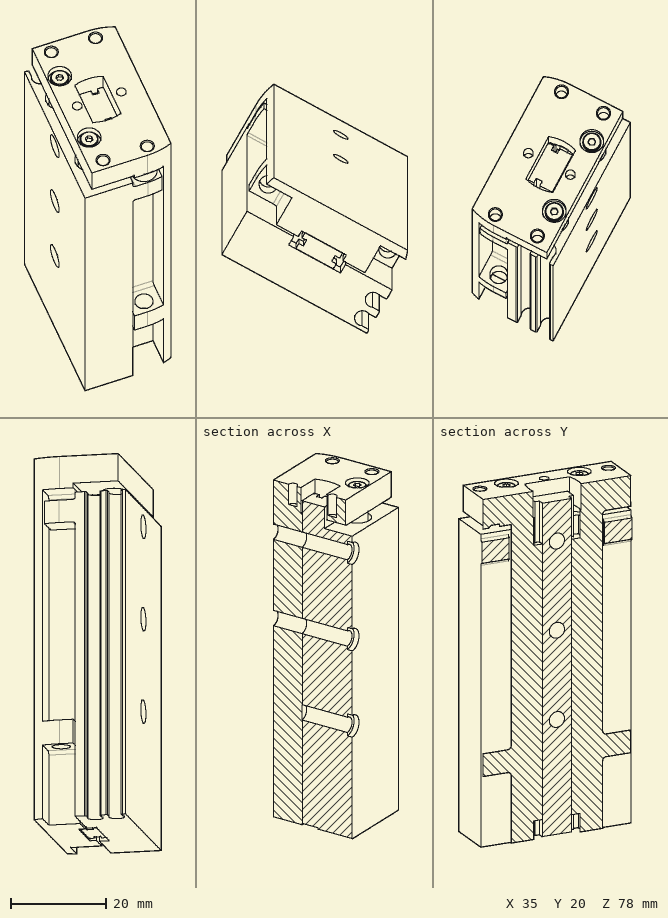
import cadquery as cq
import math

LENGTH = 78.0
DEPTH = 20.0
WIDTH = 35.0
BODY_HALF_WIDTH = WIDTH / 2
TABLE_HALF_WIDTH = 17.2
SIDE_STRAIGHT_Y = 14.3
FLANK_INSET = 1.1

BODY_TOP_Z = 70.05
BODY_BACK_Y = 10.85
CHANNEL_HALF_WIDTH = 6.25
CHANNEL_FLOOR_Y = 8.7

SLOT_DIAMETER = 3.3
SLOT_NECK = 3.0
SLOT_LIP_WIDTH = 0.27
SLOT_LIP_DEPTH = 0.12
SLOT_AXIS_X = -15.05
SLOT_AXES_Y = (2.4, 7.0)

RAIL_HALF_WIDTH = 4.5
RAIL_FRONT_Y = 7.0
RAIL_BACK_Y = 12.7
RAIL_BOTTOM_Z = 0.3
RAIL_TOP_Z = 75.0
RAIL_GROOVE_DEPTH = 1.1
RAIL_GROOVE_WIDTH = 1.4
RAIL_GROOVE_Y = 10.7

STOP_BOTTOM_Z = 63.65
STOP_TOP_Z = 68.5
STOP_BACK_Y = 17.55
STOP_INNER_X = 11.1
STOP_FILLET = 0.55

BUMPER_DIAMETER = 5.5
BUMPER_X = 14.4
BUMPER_Y = 14.5
BUMPER_TOP_Z = 71.3

MOUNT_COUNT = 3
MOUNT_THROUGH_COUNT = 2
MOUNT_PITCH = 20.0
MOUNT_TOP_Z = 66.0
MOUNT_DIAMETER = 3.4
MOUNT_BORE_DIAMETER = 5.0
MOUNT_BORE_DEPTH = 1.25

PLATE_FRONT_Y = 1.6
PLATE_BOTTOM_Z = 72.1
SHOULDER_BOTTOM_Z = 71.05
PANEL_FRONT_Y = 18.0
BLOCK_HALF_WIDTH = 10.7
BLOCK_FRONT_Y = 11.3
BLOCK_CHANNEL_HALF_WIDTH = 5.4
CORNER_RADIUS = 0.8

CARRIAGE_CLEARANCE = 0.15
CARRIAGE_HALF_WIDTH = CHANNEL_HALF_WIDTH - CARRIAGE_CLEARANCE
CARRIAGE_FRONT_Y = CHANNEL_FLOOR_Y + CARRIAGE_CLEARANCE
CARRIAGE_END_INSET = 4.1

END_STOP_BOTTOM_Z = 15.9
END_STOP_TOP_Z = 21.05
END_STOP_HOLE_DIAMETER = 3.8

NOTCH_LEFT_X = 13.4
NOTCH_RIGHT_X = 15.4
NOTCH_TOP_Z = 71.8

WINDOW_FRONT_Y = 6.55
WINDOW_BACK_Y = 12.95
WINDOW_END_HALF_WIDTH = 5.15
WINDOW_MID_HALF_WIDTH = 5.7

PLATE_HOLE_DEPTH = 4.7
PLATE_HOLES_Y = (5.1, 15.05)
THREAD_X = 15.0
THREAD_DIAMETER = 2.5
THREAD_CHAMFER = 0.2
PIN_HOLE_DIAMETER = 2.0

SCREW_X = 8.5
SCREW_Y = 4.45
SCREW_BORE_DIAMETER = 5.0
SCREW_BORE_DEPTH = 1.55
SCREW_HEAD_DIAMETER = 3.8
SCREW_HEAD_CHAMFER = 0.15
SCREW_HEAD_RECESS = 0.5
SOCKET_ACROSS_FLATS = 1.4
SOCKET_DEPTH = 0.8
BUFFER_DIAMETER = 4.6
BUFFER_CLEARANCE_DIAMETER = 6.0
BUFFER_END_Z = 67.85
BUFFER_HOLE_DEPTH = 4.7


def box(x_range, y_range, z_range):
    """Box between two limits on each axis."""
    x0, x1 = x_range
    y0, y1 = y_range
    z0, z1 = z_range
    return cq.Workplane("XY").box(x1 - x0, y1 - y0, z1 - z0, centered=False).translate((x0, y0, z0))


def cylinder(diameter, x, y, z_bottom, z_top):
    """Cylinder along Z."""
    return cq.Workplane("XY", origin=(x, y, z_bottom)).circle(diameter / 2).extrude(z_top - z_bottom)


def cylinder_y(diameter, z, y_front, y_back):
    """Cylinder along Y on the centre plane."""
    plane = cq.Workplane("XZ", origin=(0, y_front, z))
    return plane.circle(diameter / 2).extrude(y_front - y_back)


def flanked_prism(half_width, y_front, z_bottom, z_top):
    """Prism whose sides are straight and then curve inwards towards the back."""
    rise = DEPTH - SIDE_STRAIGHT_Y
    radius = (rise**2 + FLANK_INSET**2) / (2 * FLANK_INSET)
    mid_rise = rise / 2
    mid_x = half_width - radius + math.sqrt(radius**2 - mid_rise**2)
    end_x = half_width - FLANK_INSET
    mid_y = SIDE_STRAIGHT_Y + mid_rise
    return (
        cq.Workplane("XY", origin=(0, 0, z_bottom))
        .moveTo(-half_width, y_front)
        .lineTo(half_width, y_front)
        .lineTo(half_width, SIDE_STRAIGHT_Y)
        .threePointArc((mid_x, mid_y), (end_x, DEPTH))
        .lineTo(-end_x, DEPTH)
        .threePointArc((-mid_x, mid_y), (-half_width, SIDE_STRAIGHT_Y))
        .close()
        .extrude(z_top - z_bottom)
    )


def mount_holes_z(count):
    """Heights of the mounting holes, counted from the top."""
    return [MOUNT_TOP_Z - i * MOUNT_PITCH for i in range(count)]


def make_rail():
    """Guide rail with a groove along each flank."""
    z_range = (RAIL_BOTTOM_Z, RAIL_TOP_Z)
    rail = box((-RAIL_HALF_WIDTH, RAIL_HALF_WIDTH), (RAIL_FRONT_Y, RAIL_BACK_Y), z_range)
    groove_y = (RAIL_GROOVE_Y - RAIL_GROOVE_WIDTH / 2, RAIL_GROOVE_Y + RAIL_GROOVE_WIDTH / 2)
    groove_floor_x = RAIL_HALF_WIDTH - RAIL_GROOVE_DEPTH
    rail = rail.cut(box((groove_floor_x, RAIL_HALF_WIDTH), groove_y, z_range))
    return rail.cut(box((-RAIL_HALF_WIDTH, -groove_floor_x), groove_y, z_range))


def make_stops():
    """Pair of stop lugs that rise from the body on both sides of the table block."""
    lugs = flanked_prism(BODY_HALF_WIDTH, CHANNEL_FLOOR_Y, STOP_BOTTOM_Z, STOP_TOP_Z)
    gap = (-STOP_INNER_X, STOP_INNER_X)
    lugs = lugs.cut(box(gap, (0, DEPTH), (0, LENGTH)))
    side = (-BODY_HALF_WIDTH, BODY_HALF_WIDTH)
    return lugs.cut(box(side, (STOP_BACK_Y, DEPTH), (0, LENGTH)))


def make_sensor_slot(y):
    """Round slot with a chamfered neck that opens towards -X."""
    half_neck = SLOT_NECK / 2
    half_mouth = half_neck + SLOT_LIP_WIDTH
    lip_x = -BODY_HALF_WIDTH + SLOT_LIP_DEPTH
    neck = (
        cq.Workplane("XY")
        .moveTo(SLOT_AXIS_X, y - half_neck)
        .lineTo(lip_x, y - half_neck)
        .lineTo(-BODY_HALF_WIDTH, y - half_mouth)
        .lineTo(-BODY_HALF_WIDTH, y + half_mouth)
        .lineTo(lip_x, y + half_neck)
        .lineTo(SLOT_AXIS_X, y + half_neck)
        .close()
        .extrude(BODY_TOP_Z)
    )
    return neck.union(cylinder(SLOT_DIAMETER, SLOT_AXIS_X, y, 0, BODY_TOP_Z))


def make_body():
    """Slotted body with its rail, stop lugs, bumper and mounting holes."""
    side = (-BODY_HALF_WIDTH, BODY_HALF_WIDTH)
    body = box(side, (0, BODY_BACK_Y), (0, BODY_TOP_Z)).union(make_stops())
    root = (BODY_HALF_WIDTH + STOP_INNER_X) / 2
    for x in (-root, root):
        for z in (STOP_BOTTOM_Z, STOP_TOP_Z):
            root_edge = cq.selectors.NearestToPointSelector((x, BODY_BACK_Y, z))
            body = body.edges(root_edge).fillet(STOP_FILLET)
    channel = (-CHANNEL_HALF_WIDTH, CHANNEL_HALF_WIDTH)
    body = body.cut(box(channel, (CHANNEL_FLOOR_Y, BODY_BACK_Y), (0, BODY_TOP_Z)))
    for y in SLOT_AXES_Y:
        body = body.cut(make_sensor_slot(y))
    body = body.union(make_rail())
    body = body.union(cylinder(BUMPER_DIAMETER, BUMPER_X, BUMPER_Y, STOP_TOP_Z, BUMPER_TOP_Z))
    hole_floor = BODY_TOP_Z - BUFFER_HOLE_DEPTH
    for x in (-SCREW_X, SCREW_X):
        body = body.cut(cylinder(BUFFER_CLEARANCE_DIAMETER, x, SCREW_Y, hole_floor, BODY_TOP_Z))
    for z in mount_holes_z(MOUNT_COUNT):
        body = body.cut(cylinder_y(MOUNT_DIAMETER, z, 0, DEPTH))
        body = body.cut(cylinder_y(MOUNT_BORE_DIAMETER, z, 0, MOUNT_BORE_DEPTH))
    return body


def corner_fillers(z, direction):
    """Concave fillets where a face at height z meets both flanks of the table block."""
    tip_z = z + direction * CORNER_RADIUS
    tip_x = BLOCK_HALF_WIDTH + CORNER_RADIUS
    reach = CORNER_RADIUS * (1 - math.sqrt(0.5))
    filler = (
        cq.Workplane("XZ", origin=(0, BLOCK_FRONT_Y, 0))
        .moveTo(BLOCK_HALF_WIDTH, z)
        .lineTo(tip_x, z)
        .threePointArc((BLOCK_HALF_WIDTH + reach, z + direction * reach), (BLOCK_HALF_WIDTH, tip_z))
        .close()
        .extrude(BLOCK_FRONT_Y - PANEL_FRONT_Y)
    )
    return filler.union(filler.mirror("YZ"))


def make_carriage():
    """Carriage legs that fill the space between the rail and the body channel."""
    z_range = (CARRIAGE_END_INSET, BODY_TOP_Z - CARRIAGE_END_INSET)
    legs_x = (-CARRIAGE_HALF_WIDTH, CARRIAGE_HALF_WIDTH)
    root_x = (-BLOCK_CHANNEL_HALF_WIDTH, BLOCK_CHANNEL_HALF_WIDTH)
    carriage = box(legs_x, (CARRIAGE_FRONT_Y, BLOCK_FRONT_Y), z_range)
    carriage = carriage.union(box(root_x, (BLOCK_FRONT_Y, RAIL_BACK_Y), z_range))
    return carriage.cut(make_rail())


def make_table_shell():
    """End plate, back panel, central block, carriage legs and end stops."""
    shell = flanked_prism(TABLE_HALF_WIDTH, PLATE_FRONT_Y, 0, LENGTH)
    full = (-BODY_HALF_WIDTH, BODY_HALF_WIDTH)
    shell = shell.cut(box(full, (0, BLOCK_FRONT_Y), (0, PLATE_BOTTOM_Z)))
    y_range = (BLOCK_FRONT_Y, PANEL_FRONT_Y)
    for x_range in ((-BODY_HALF_WIDTH, -BLOCK_HALF_WIDTH), (BLOCK_HALF_WIDTH, BODY_HALF_WIDTH)):
        shell = shell.cut(box(x_range, y_range, (0, END_STOP_BOTTOM_Z)))
        shell = shell.cut(box(x_range, y_range, (END_STOP_TOP_Z, SHOULDER_BOTTOM_Z)))
    shell = shell.union(corner_fillers(SHOULDER_BOTTOM_Z, -1))
    shell = shell.union(corner_fillers(END_STOP_TOP_Z, 1))
    shell = shell.union(corner_fillers(END_STOP_BOTTOM_Z, -1))
    channel = (-BLOCK_CHANNEL_HALF_WIDTH, BLOCK_CHANNEL_HALF_WIDTH)
    shell = shell.cut(box(channel, (BLOCK_FRONT_Y, RAIL_BACK_Y), (0, PLATE_BOTTOM_Z)))
    shell = shell.union(make_carriage())
    for x in (-BUMPER_X, BUMPER_X):
        hole = cylinder(END_STOP_HOLE_DIAMETER, x, BUMPER_Y, END_STOP_BOTTOM_Z, END_STOP_TOP_Z)
        shell = shell.cut(hole)
    return shell


def make_bumper_relief():
    """Relief with a notch under the +X shoulder, above the bumper."""
    y_range = (BLOCK_FRONT_Y, PANEL_FRONT_Y)
    relief_z = (SHOULDER_BOTTOM_Z - CORNER_RADIUS, BUMPER_TOP_Z)
    relief = box((BLOCK_HALF_WIDTH, BODY_HALF_WIDTH), y_range, relief_z)
    notch_rise = NOTCH_TOP_Z - BUMPER_TOP_Z
    notch = (
        cq.Workplane("XZ", origin=(0, BLOCK_FRONT_Y, 0))
        .moveTo(NOTCH_LEFT_X, BUMPER_TOP_Z)
        .lineTo(NOTCH_LEFT_X, NOTCH_TOP_Z)
        .lineTo(NOTCH_RIGHT_X, NOTCH_TOP_Z)
        .lineTo(NOTCH_RIGHT_X + notch_rise, BUMPER_TOP_Z)
        .close()
        .extrude(BLOCK_FRONT_Y - PANEL_FRONT_Y)
    )
    return relief.union(notch)


def make_window():
    """Opening in the end plate around the rail, with bowed ends."""
    mid_y = (WINDOW_FRONT_Y + WINDOW_BACK_Y) / 2
    return (
        cq.Workplane("XY", origin=(0, 0, PLATE_BOTTOM_Z))
        .moveTo(-WINDOW_END_HALF_WIDTH, WINDOW_FRONT_Y)
        .lineTo(WINDOW_END_HALF_WIDTH, WINDOW_FRONT_Y)
        .threePointArc((WINDOW_MID_HALF_WIDTH, mid_y), (WINDOW_END_HALF_WIDTH, WINDOW_BACK_Y))
        .lineTo(-WINDOW_END_HALF_WIDTH, WINDOW_BACK_Y)
        .threePointArc((-WINDOW_MID_HALF_WIDTH, mid_y), (-WINDOW_END_HALF_WIDTH, WINDOW_FRONT_Y))
        .close()
        .extrude(LENGTH - PLATE_BOTTOM_Z)
    )


def cut_plate_holes(table):
    """Chamfered threaded holes near the corners and plain pin holes in the middle."""
    hole_floor = LENGTH - PLATE_HOLE_DEPTH
    thread_radius = THREAD_DIAMETER / 2
    mouth_radius = thread_radius + THREAD_CHAMFER
    for y in PLATE_HOLES_Y:
        table = table.cut(cylinder(PIN_HOLE_DIAMETER, 0, y, hole_floor, LENGTH))
        for x in (-THREAD_X, THREAD_X):
            table = table.cut(cylinder(THREAD_DIAMETER, x, y, hole_floor, LENGTH))
            mouth_base = cq.Vector(x, y, LENGTH - THREAD_CHAMFER)
            mouth = cq.Solid.makeCone(thread_radius, mouth_radius, THREAD_CHAMFER, mouth_base)
            table = table.cut(cq.Workplane(mouth))
    return table


def add_buffer_screw(table, x):
    """Recessed socket screw in the plate with its buffer below."""
    bore_floor = LENGTH - SCREW_BORE_DEPTH
    head_top = LENGTH - SCREW_HEAD_RECESS
    table = table.cut(cylinder(SCREW_BORE_DIAMETER, x, SCREW_Y, bore_floor, LENGTH))
    head = cylinder(SCREW_HEAD_DIAMETER, x, SCREW_Y, bore_floor, head_top)
    head = head.faces(">Z").chamfer(SCREW_HEAD_CHAMFER)
    socket_diameter = SOCKET_ACROSS_FLATS / math.cos(math.pi / 6)
    socket = cq.Workplane("XY", origin=(x, SCREW_Y, head_top))
    head = head.cut(socket.polygon(6, socket_diameter).extrude(-SOCKET_DEPTH))
    return table.union(head).union(cylinder(BUFFER_DIAMETER, x, SCREW_Y, BUFFER_END_Z, PLATE_BOTTOM_Z))


def make_table():
    """Sliding table with its end plate, window, holes and buffer screws."""
    table = make_table_shell().cut(make_bumper_relief()).cut(make_window())
    table = cut_plate_holes(table)
    for x in (-SCREW_X, SCREW_X):
        table = add_buffer_screw(table, x)
    for z in mount_holes_z(MOUNT_THROUGH_COUNT):
        table = table.cut(cylinder_y(MOUNT_DIAMETER, z, BLOCK_FRONT_Y, DEPTH))
    return table


body = make_body()
table = make_table()
result = cq.Compound.makeCompound([body.solids().val(), table.solids().val()])